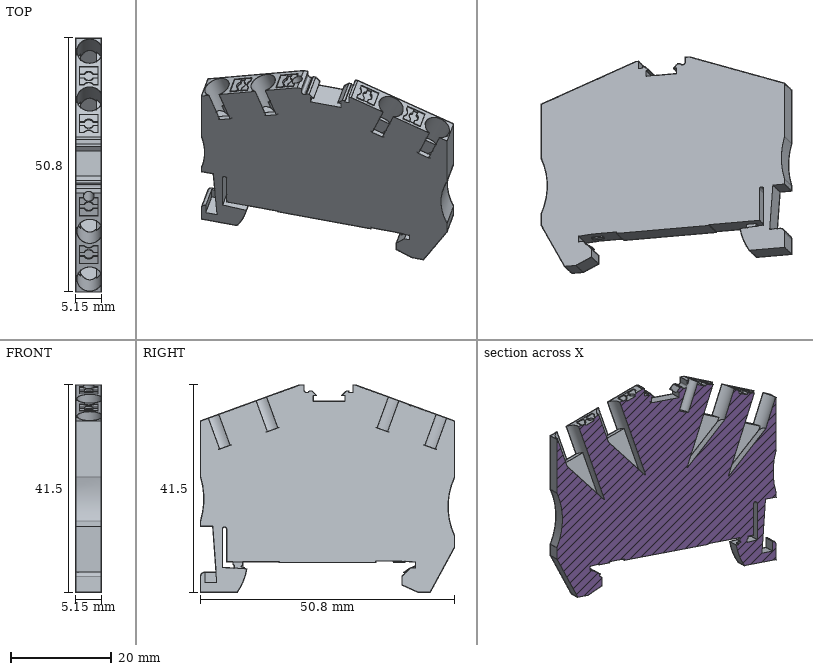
import math

import cadquery as cq

thickness = 5.15
length = 50.8
height = 41.5
half_length = length / 2
half_thickness = thickness / 2

slope_angle = 20.0
crest_y = 5.6
shoulder_z = height - (half_length - crest_y) * math.tan(math.radians(slope_angle))

channel_floor_z = 38.25
lip_under_z = 39.35
ledge_z = 40.0
lip_top_z = 40.3
lip_top_width = 0.5
lip_overhang = 0.65
rear_wall_y = 5.1
rear_lip_back_y = 4.25
rear_floor_y = 3.45
front_floor_y = -2.85
front_lip_back_y = -3.6
front_lip_slant = 0.3
front_wall_y = -4.65
ledge_radius = 0.5

front_hollow_z = 18.7
front_hollow_half = 4.4
front_hollow_depth = 0.65
rear_hollow_z = 17.15
rear_hollow_half = 5.8
rear_hollow_depth = 1.25
rear_corner_z = 9.0

foot_half_length = 9.65
foot_z = 5.95
base_z = 6.1
recess_z = 6.25
recess_rear_y = 14.75
hook_root_y = 17.6
hook_root_top_z = 6.05
hook_root_z = 4.9
hook_slope_y = 16.55
hook_tip_y = 14.9
hook_tip_top_z = 3.25
hook_tip_low_z = 1.45
hook_base_front_y = 18.15
hook_base_rear_y = 20.5
slot_front_y = -21.0
slot_rear_y = -20.15
slot_top_z = 13.05
slot_radius = (slot_rear_y - slot_front_y) / 2
clip_shoulder_z = 13.2
tab_top_z = 4.05
tab_radius = 0.9
tab_flat_end_y = -half_length + tab_radius
tab_wall = 0.45
tab_hollow_depth = 2.05
arm_foot_y = -22.3
arm_head_y = -22.95
claw_tip_y = -16.1
claw_tip_z = 4.7
claw_base_y = -18.05
claw_bulge = (-16.8, 2.25)
claw_heel_z = 5.05

plate_thickness = 1.2
neck_outline = [
    (-16.9, 6.35), (-16.9, 5.45), (-17.2, 5.2), (-16.55, 5.0), (-16.55, 4.55),
    (-18.65, 4.55), (-18.65, 5.45), (-18.9, 5.6), (-18.9, 6.35),
]
rail_pad_outline = [(15.5, 6.4), (15.5, 6.0), (13.2, 6.0), (13.05, 6.4)]
hook_edge_outline = [(17.8, 5.4), (16.4, 4.85), (15.25, 4.0), (15.75, 3.55), (17.8, 3.55)]

pitch = 10.15
first_entry = 2.8
first_pocket = 8.0
entry_diameter = 5.15
entry_radius = entry_diameter / 2
entry_offset_x = 0.25
entry_depth = 6.6
entry_floor_angle = 45.0
funnel_width = 3.15
pocket_offset_x = 0.05
pocket_width = 3.6
pocket_height = 3.8
pocket_depth = 0.15
groove_height = 0.85
groove_radius = 0.95
groove_depth = 0.6
bite_radius = 1.2
bite_gap = 0.75
test_hole_radius = 1.05
test_hole_depth = 6.6
test_hole_gap = 0.3


def make_body():
    """Side outline extruded through the thickness."""
    outline = (
        cq.Workplane("YZ", origin=(-half_thickness, 0, 0))
        .moveTo(half_length, shoulder_z)
        .lineTo(crest_y, height)
        .lineTo(rear_wall_y, height)
        .lineTo(rear_wall_y, ledge_z)
        .lineTo(rear_lip_back_y, ledge_z)
        .lineTo(rear_lip_back_y, lip_top_z)
        .lineTo(rear_lip_back_y - lip_top_width, lip_top_z)
        .lineTo(rear_floor_y - lip_overhang, lip_under_z)
        .lineTo(rear_floor_y, lip_under_z)
        .lineTo(rear_floor_y, channel_floor_z)
        .lineTo(front_floor_y, channel_floor_z)
        .lineTo(front_floor_y, lip_under_z)
        .lineTo(front_floor_y + lip_overhang, lip_under_z)
        .lineTo(front_lip_back_y + lip_top_width, lip_top_z)
        .lineTo(front_lip_back_y, lip_top_z)
        .lineTo(front_lip_back_y - front_lip_slant, ledge_z)
        .lineTo(front_wall_y + ledge_radius, ledge_z)
        .radiusArc((front_wall_y, ledge_z + ledge_radius), ledge_radius)
        .lineTo(front_wall_y, height)
        .lineTo(-crest_y, height)
        .lineTo(-half_length, shoulder_z)
        .lineTo(-half_length, front_hollow_z + front_hollow_half)
        .threePointArc(
            (-half_length + front_hollow_depth, front_hollow_z),
            (-half_length, front_hollow_z - front_hollow_half),
        )
        .lineTo(-half_length, clip_shoulder_z)
        .lineTo(arm_head_y, clip_shoulder_z)
        .lineTo(arm_foot_y, tab_top_z)
        .lineTo(tab_flat_end_y, tab_top_z)
        .radiusArc((-half_length, tab_top_z - tab_radius), -tab_radius)
        .lineTo(-half_length, 0)
        .lineTo(claw_base_y, 0)
        .threePointArc(claw_bulge, (claw_tip_y, claw_tip_z))
        .lineTo(slot_front_y, claw_heel_z)
        .lineTo(slot_front_y, slot_top_z - slot_radius)
        .radiusArc((slot_rear_y, slot_top_z - slot_radius), slot_radius)
        .lineTo(slot_rear_y, base_z)
        .lineTo(-foot_half_length, base_z)
        .lineTo(-foot_half_length, foot_z)
        .lineTo(foot_half_length, foot_z)
        .lineTo(foot_half_length, recess_z)
        .lineTo(recess_rear_y, recess_z)
        .lineTo(hook_root_y, hook_root_top_z)
        .lineTo(hook_root_y, hook_root_z)
        .lineTo(hook_slope_y, hook_root_z)
        .lineTo(hook_tip_y, hook_tip_top_z)
        .lineTo(hook_tip_y, hook_tip_low_z)
        .lineTo(hook_base_front_y, 0)
        .lineTo(hook_base_rear_y, 0)
        .lineTo(half_length, rear_corner_z)
        .lineTo(half_length, rear_hollow_z - rear_hollow_half)
        .threePointArc(
            (half_length - rear_hollow_depth, rear_hollow_z),
            (half_length, rear_hollow_z + rear_hollow_half),
        )
        .close()
    )
    return outline.extrude(thickness)


def plate_piece(points):
    """Part of the contact plate with the given (Y, Z) outline."""
    plane = cq.Workplane("YZ", origin=(-plate_thickness / 2, 0, 0))
    return plane.polyline(points).close().extrude(plate_thickness)


def slope_plane(distance, offset_x=0.0):
    """Workplane on the front shoulder, local Y pointing up the slope."""
    angle = math.radians(slope_angle)
    origin = (
        offset_x,
        -half_length + distance * math.cos(angle),
        shoulder_z + distance * math.sin(angle),
    )
    normal = (0, -math.sin(angle), math.cos(angle))
    return cq.Workplane(cq.Plane(origin=origin, xDir=(1, 0, 0), normal=normal))


def wire_entry(distance):
    """Round bore square to the slope, ending in a narrower funnel with a steep floor."""
    plane = slope_plane(distance, entry_offset_x)
    bore = plane.circle(entry_radius).extrude(-entry_depth)

    fall = 2 * entry_radius * math.tan(math.radians(entry_floor_angle + slope_angle))
    mid_point = slope_plane(distance).plane.origin
    side_plane = cq.Plane(origin=mid_point, xDir=plane.plane.yDir, normal=(1, 0, 0))
    wedge = (
        cq.Workplane(side_plane)
        .moveTo(-entry_radius, 0)
        .lineTo(-entry_radius, -entry_depth)
        .lineTo(entry_radius, -entry_depth - fall)
        .lineTo(entry_radius, 0)
        .close()
        .extrude(funnel_width / 2, both=True)
    )
    funnel = plane.circle(entry_radius).extrude(-entry_depth - fall).intersect(wedge)
    return bore.union(funnel)


def marker_pocket(distance):
    """Shallow pocket with a round bite at its upper edge and a deeper keyed groove."""
    plane = slope_plane(distance, pocket_offset_x)
    pocket = plane.rect(pocket_width, pocket_height).extrude(-pocket_depth)
    groove = plane.rect(pocket_width, groove_height).extrude(-groove_depth)
    disc = plane.circle(groove_radius).extrude(-groove_depth)
    bite_plane = slope_plane(distance + pocket_height / 2 + bite_gap, pocket_offset_x)
    bite = bite_plane.circle(bite_radius).extrude(-pocket_depth)
    return pocket.cut(bite).union(groove).union(disc)


def test_hole(distance):
    """Small round hole at the upper edge of a marker pocket."""
    plane = slope_plane(distance + pocket_height / 2 + test_hole_gap, pocket_offset_x)
    return plane.circle(test_hole_radius).extrude(-test_hole_depth)


def tab_hollow():
    """Tool recess in the clip tab, continuing the arm's slant and open towards +X."""
    arm_lean = tab_hollow_depth * (arm_foot_y - arm_head_y) / (clip_shoulder_z - tab_top_z)
    return (
        cq.Workplane("YZ", origin=(-half_thickness + tab_wall, 0, 0))
        .moveTo(arm_foot_y, tab_top_z)
        .lineTo(arm_foot_y + arm_lean, tab_top_z - tab_hollow_depth)
        .lineTo(tab_flat_end_y, tab_top_z - tab_hollow_depth)
        .lineTo(tab_flat_end_y, tab_top_z)
        .close()
        .extrude(thickness)
    )


result = make_body()

for plate_outline in (neck_outline, rail_pad_outline, hook_edge_outline):
    result = result.union(plate_piece(plate_outline))

for step in range(2):
    entry = wire_entry(first_entry + step * pitch)
    pocket = marker_pocket(first_pocket + step * pitch)
    for cutter in (entry, pocket):
        result = result.cut(cutter).cut(cutter.mirror("XZ"))

result = result.cut(test_hole(first_pocket + pitch))
result = result.cut(tab_hollow())